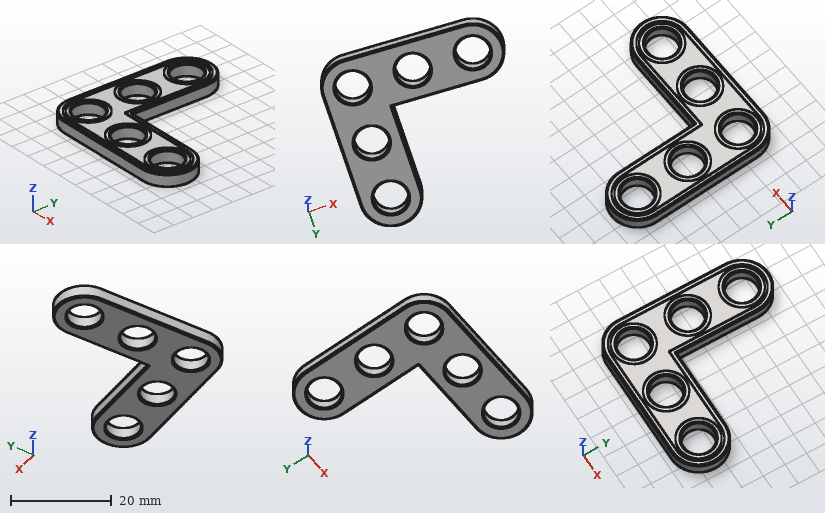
import cadquery as cq

leg_length = 37.5
thickness = 3.1
hole_pitch = leg_length / 3
leg_width = hole_pitch
holes_per_leg = 3
hole_diameter = 7.0
collar_diameter = 9.2
edge_chamfer = 0.3
rim_width = 1.12
recess_depth = 0.2

end_radius = leg_width / 2
last_hole = (holes_per_leg - 1) * hole_pitch

hole_centers = [(0, 0)]
for step in range(1, holes_per_leg):
    hole_centers.append((step * hole_pitch, 0))
    hole_centers.append((0, step * hole_pitch))


def angle_outline(plane, radius):
    """L-shaped outline lying at a constant distance from the hole center lines."""
    diagonal = radius / 2**0.5
    return (
        plane.moveTo(0, -radius)
        .lineTo(last_hole, -radius)
        .threePointArc((last_hole + radius, 0), (last_hole, radius))
        .lineTo(radius, radius)
        .lineTo(radius, last_hole)
        .threePointArc((0, last_hole + radius), (-radius, last_hole))
        .lineTo(-radius, 0)
        .threePointArc((-diagonal, -diagonal), (0, -radius))
        .close()
    )


def make_plate():
    """Flat angle plate with its outer edges chamfered top and bottom."""
    plate = angle_outline(cq.Workplane("XY"), end_radius).extrude(thickness)
    return plate.faces("<Z or >Z").chamfer(edge_chamfer)


def make_recess():
    """Shallow top pocket inside the rim, leaving a collar around every hole."""
    floor = cq.Workplane("XY", origin=(0, 0, thickness - recess_depth))
    pocket = angle_outline(floor, end_radius - rim_width).extrude(recess_depth)
    collars = floor.pushPoints(hole_centers).circle(collar_diameter / 2).extrude(recess_depth)
    return pocket.cut(collars)


def make_hole():
    """Cutter for one through hole with a chamfer at both mouths, revolved about Z."""
    bore_radius = hole_diameter / 2
    mouth_radius = bore_radius + edge_chamfer
    profile = (
        cq.Workplane("XZ")
        .lineTo(mouth_radius, 0)
        .lineTo(bore_radius, edge_chamfer)
        .lineTo(bore_radius, thickness - edge_chamfer)
        .lineTo(mouth_radius, thickness)
        .lineTo(0, thickness)
        .close()
    )
    return profile.revolve(360, (0, 0), (0, 1))


result = make_plate().cut(make_recess())
hole = make_hole()
for x, y in hole_centers:
    result = result.cut(hole.translate((x, y, 0)))